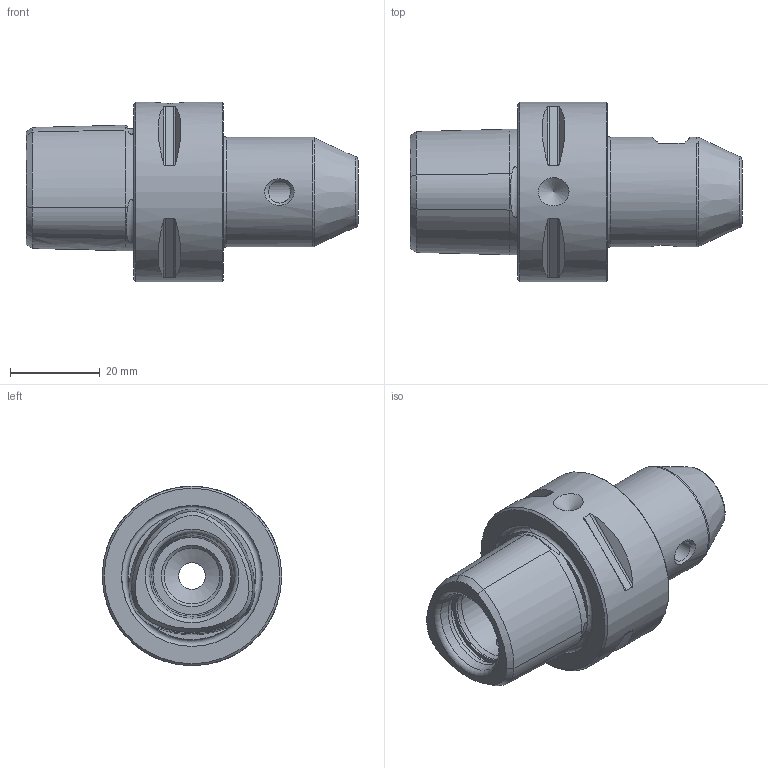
import math
import cadquery as cq


shank_length = 24.0
flange_diameter = 40.0
flange_length = 20.0
nose_diameter = 24.5
nose_length = 30.0

polygon_mean_radius = 14.0
polygon_eccentricity = 0.9
shank_taper = 1 / 40
straight_land = 1.8
lobe_half_angle = math.radians(27)
lead_chamfer_length = 1.4
lead_chamfer_depth = 0.87

neck_radius = 14.05
neck_foot_radius = 14.2
neck_length = 1.6
neck_middle_x = -0.6
relief_rim_radius = 15.7

flange_chamfer = 0.45
flange_rear_chamfer = 0.3
feature_x = 8.0
groove_floor_distance = 17.65
groove_floor_half_width = 1.2
groove_wall_angle = math.radians(30)
groove_fillet = 0.5
dimple_radius = 3.45
dimple_half_angle = math.radians(50)

root_fillet = 0.6
nose_cone_length = 9.9
nose_cone_angle = math.radians(25)
nose_cone_blend = 1.0
nose_tip_round = 1.0

screw_hole_x = 32.5
screw_hole_diameter = 4.92
screw_countersink_diameter = 6.6
flat_x = 34.25
flat_distance = 10.86
flat_floor_width = 5.7

tool_bore_diameter = 6.0
mouth_radius = 10.4
mouth_flare_depth = 1.2
mouth_taper_radius = 9.45
clamp_bore_diameter = 18.0
mouth_taper_depth = 3.1
clamp_groove_diameter = 20.0
clamp_groove_start = 4.05
clamp_groove_end = 5.5
bore_chamfer_start = 5.95
bore_chamfer_end = 7.0
rear_bore_radius = 8.64
rear_bore_depth = 22.0
thread_bore_diameter = 12.38
thread_chamfer = 0.66
thread_bore_depth = 36.0
drill_point_half_angle = math.radians(65)
wall_hole_diameter = 4.6
wall_hole_depth = 12.5

shank_end_x = -shank_length
flange_radius = flange_diameter / 2
nose_radius = nose_diameter / 2
nose_end_x = flange_length + nose_length
tool_bore_radius = tool_bore_diameter / 2


def revolve_about_x(profile):
    """Turn a closed profile drawn as (x, radius) about the X axis."""
    return profile.close().revolve(360, (0, 0, 0), (1, 0, 0))


def polygon_point(mean_radius, angle):
    """Point (y, z) of the three-lobed outline whose normal is at angle from +Z."""
    reach = mean_radius + polygon_eccentricity * math.cos(3 * angle)
    slide = -3 * polygon_eccentricity * math.sin(3 * angle)
    y = reach * math.sin(angle) + slide * math.cos(angle)
    z = reach * math.cos(angle) - slide * math.sin(angle)
    return (y, z)


def polygon_outline(x, mean_radius):
    """Three lobes and three flanks, each one spline, with one lobe toward +Z."""
    steps = 6
    joints = []
    for lobe in range(3):
        middle = lobe * 2 * math.pi / 3
        joints += [middle - lobe_half_angle, middle + lobe_half_angle]
    joints.append(joints[0] + 2 * math.pi)

    outline = cq.Workplane("YZ", origin=(x, 0, 0)).moveTo(*polygon_point(mean_radius, joints[0]))
    for start, end in zip(joints, joints[1:]):
        angles = [start + (end - start) * i / steps for i in range(1, steps + 1)]
        tangents = [(math.cos(a), -math.sin(a)) for a in (start, end)]
        points = [polygon_point(mean_radius, a) for a in angles]
        outline = outline.spline(points, tangents=tangents, includeCurrent=True)
    return outline.close().val()


def shank_section(start_x, start_radius, end_x, end_radius):
    wires = [polygon_outline(start_x, start_radius), polygon_outline(end_x, end_radius)]
    return cq.Workplane(cq.Solid.makeLoft(wires, True))


def make_shank():
    taper_end_x = -straight_land
    chamfer_x = shank_end_x + lead_chamfer_length
    chamfer_radius = polygon_mean_radius - shank_taper * (taper_end_x - chamfer_x)
    face_radius = chamfer_radius - lead_chamfer_depth
    overlap = 1.0
    lead = shank_section(shank_end_x, face_radius, chamfer_x, chamfer_radius)
    taper = shank_section(chamfer_x, chamfer_radius, taper_end_x, polygon_mean_radius)
    land = shank_section(taper_end_x, polygon_mean_radius, overlap, polygon_mean_radius)
    return lead.union(taper).union(land)


def make_flange_and_nose():
    cone_x = nose_end_x - nose_cone_length
    tip_radius = nose_radius - nose_cone_length * math.tan(nose_cone_angle)
    flange = cq.Workplane("YZ").circle(flange_radius).extrude(flange_length)
    flange = flange.faces("<X").chamfer(flange_chamfer)
    flange = flange.faces(">X").chamfer(flange_rear_chamfer)
    nose = revolve_about_x(
        cq.Workplane("XY")
        .moveTo(flange_length / 2, 0)
        .lineTo(flange_length / 2, nose_radius)
        .lineTo(cone_x, nose_radius)
        .lineTo(nose_end_x, tip_radius)
        .lineTo(nose_end_x, 0)
    )
    nose = nose.faces("%CONE").edges("<X").fillet(nose_cone_blend)
    nose = nose.faces(">X").edges().fillet(nose_tip_round)
    root = revolve_about_x(
        cq.Workplane("XY")
        .moveTo(flange_length, nose_radius - root_fillet)
        .lineTo(flange_length, nose_radius + root_fillet)
        .radiusArc((flange_length + root_fillet, nose_radius), -root_fillet)
        .lineTo(flange_length + root_fillet, nose_radius - root_fillet)
    )
    return flange.union(nose).union(root)


def make_foot_relief():
    """Neck that trims the lobes, running into a round groove in the flange face."""
    groove_radius = (relief_rim_radius - neck_foot_radius) / 2
    groove_middle = neck_foot_radius + groove_radius
    lobe_tip_radius = polygon_mean_radius + polygon_eccentricity
    return revolve_about_x(
        cq.Workplane("XY")
        .moveTo(-neck_length, relief_rim_radius)
        .lineTo(-neck_length, lobe_tip_radius)
        .threePointArc((neck_middle_x, neck_radius), (0, neck_foot_radius))
        .threePointArc((groove_radius, groove_middle), (0, relief_rim_radius))
    )


def make_gripper_groove():
    """Trapezoidal groove across the +Z side of the flange, running along Y."""
    height = flange_radius
    top_half_width = groove_floor_half_width + height * math.tan(groove_wall_angle)
    groove = (
        cq.Workplane("XZ", origin=(feature_x, flange_radius, groove_floor_distance))
        .moveTo(-groove_floor_half_width, 0)
        .lineTo(groove_floor_half_width, 0)
        .lineTo(top_half_width, height)
        .lineTo(-top_half_width, height)
        .close()
        .extrude(flange_diameter)
    )
    return groove.faces("<Z").edges("|Y").fillet(groove_fillet)


def make_dimple():
    depth = dimple_radius / math.tan(dimple_half_angle)
    rise = 1.0
    rise_radius = dimple_radius + rise * math.tan(dimple_half_angle)
    cone = cq.Solid.makeCone(0, rise_radius, depth + rise)
    return cq.Workplane(cone).translate((feature_x, 0, flange_radius - depth))


def make_screw_hole():
    """Radial hole from the -Y side to the axis, with a 45 degree countersink."""
    start = cq.Vector(screw_hole_x, -nose_radius, 0)
    inward = cq.Vector(0, 1, 0)
    hole_radius = screw_hole_diameter / 2
    sink_radius = screw_countersink_diameter / 2
    hole = cq.Solid.makeCylinder(hole_radius, nose_radius, start, inward)
    sink = cq.Solid.makeCone(sink_radius, hole_radius, sink_radius - hole_radius, start, inward)
    return cq.Workplane(hole).union(cq.Workplane(sink))


def make_flat():
    """Shallow flat with 45 degree ends, across the +Y side of the nose."""
    depth = nose_radius - flat_distance
    half_floor = flat_floor_width / 2
    return (
        cq.Workplane("XY", origin=(flat_x, flat_distance, 0))
        .moveTo(-half_floor, 0)
        .lineTo(half_floor, 0)
        .lineTo(half_floor + depth, depth)
        .lineTo(-half_floor - depth, depth)
        .close()
        .extrude(nose_radius, both=True)
    )


def make_bores():
    """Stepped shank bore with a clamping groove, running into the tool bore."""
    clamp_radius = clamp_bore_diameter / 2
    groove_radius = clamp_groove_diameter / 2
    thread_radius = thread_bore_diameter / 2
    point_length = (thread_radius - tool_bore_radius) / math.tan(drill_point_half_angle)
    profile = (
        cq.Workplane("XY", origin=(shank_end_x, 0, 0))
        .moveTo(0, 0)
        .lineTo(0, mouth_radius)
        .radiusArc((mouth_flare_depth, mouth_taper_radius), -mouth_flare_depth)
        .lineTo(mouth_taper_depth, clamp_radius)
        .lineTo(clamp_groove_start, clamp_radius)
        .lineTo(clamp_groove_start, groove_radius)
        .lineTo(clamp_groove_end, groove_radius)
        .lineTo(clamp_groove_end, clamp_radius)
        .lineTo(bore_chamfer_start, clamp_radius)
        .lineTo(bore_chamfer_end, rear_bore_radius)
        .lineTo(rear_bore_depth, rear_bore_radius)
        .lineTo(rear_bore_depth, thread_radius + thread_chamfer)
        .lineTo(rear_bore_depth + thread_chamfer, thread_radius)
        .lineTo(thread_bore_depth, thread_radius)
        .lineTo(thread_bore_depth + point_length, tool_bore_radius)
        .lineTo(nose_end_x - shank_end_x, tool_bore_radius)
        .lineTo(nose_end_x - shank_end_x, 0)
    )
    return revolve_about_x(profile)


def make_wall_hole():
    """Radial hole through the -Z side of the hollow shank."""
    return (
        cq.Workplane("XY", origin=(shank_end_x + wall_hole_depth, 0, 0))
        .circle(wall_hole_diameter / 2)
        .extrude(-flange_radius)
    )


result = make_flange_and_nose().union(make_shank())
result = result.cut(make_foot_relief())
for quarter in range(4):
    groove = make_gripper_groove().rotate((0, 0, 0), (1, 0, 0), 45 + 90 * quarter)
    result = result.cut(groove)
result = result.cut(make_dimple())
result = result.cut(make_screw_hole())
result = result.cut(make_flat())
result = result.cut(make_bores())
result = result.cut(make_wall_hole())